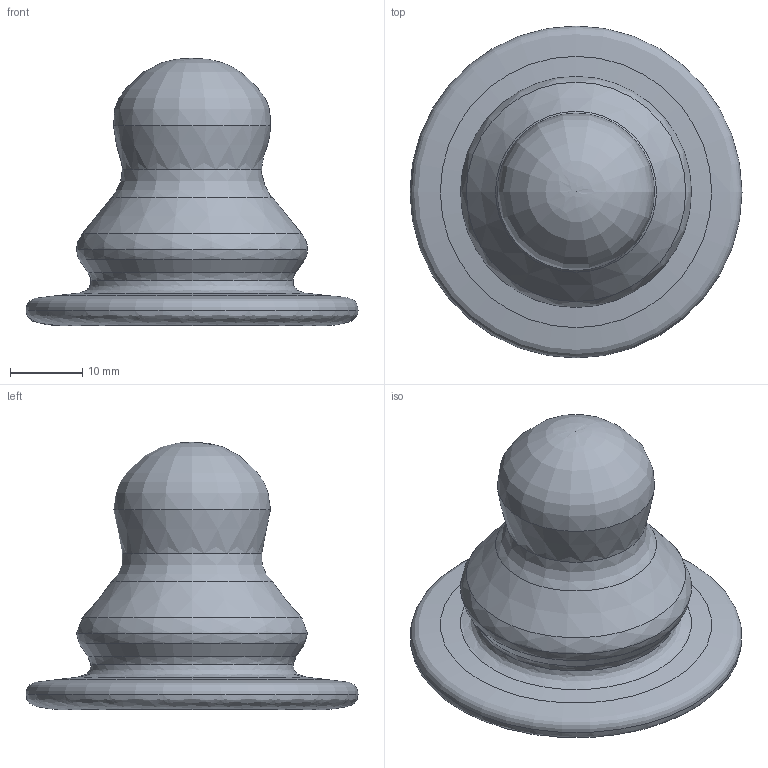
import cadquery as cq

total_height = 37.01

crown_radius, crown_z = 6.55, 35.25
brow_radius, brow_z = 9.4, 32.5
head_radius, head_z = 10.88, 27.7
jaw_radius, jaw_z = 10.3, 24.5

waist_radius, waist_z = 9.65, 21.6

cone_top_radius, cone_top_z = 11.15, 17.75
cone_bottom_radius, cone_bottom_z = 15.2, 12.7

shoulder_radius, shoulder_z = 16.0, 10.5
undercut_top_radius, undercut_top_z = 15.6, 9.1
undercut_bottom_radius, undercut_bottom_z = 14.4, 7.3

neck_radius, neck_z = 14.0, 6.2
neck_foot_radius, neck_foot_z = 16.0, 4.45

flange_diameter = 46.0
flange_radius = flange_diameter / 2
flange_edge_z = 2.1
flange_top_radius, flange_top_z = 18.8, 4.15
rim_under_radius, rim_under_z = 21.2, 0.35
underside_radius = 18.5

DOWN = (0, -1)
OUTWARD = (1, 0)
INWARD = (-1, 0)

FULL_TURN = 360
AXIS_START = (0, 0, 0)
AXIS_END = (0, 1, 0)


def slope(start, end):
    """Direction from one profile point to another."""
    return (end[0] - start[0], end[1] - start[1])


def half_profile():
    """Closed half section in the XZ plane, from the top down to the underside."""
    apex = (0, total_height)
    crown = (crown_radius, crown_z)
    brow = (brow_radius, brow_z)
    head = (head_radius, head_z)
    jaw = (jaw_radius, jaw_z)
    waist = (waist_radius, waist_z)
    cone_top = (cone_top_radius, cone_top_z)
    cone_bottom = (cone_bottom_radius, cone_bottom_z)
    shoulder = (shoulder_radius, shoulder_z)
    undercut_top = (undercut_top_radius, undercut_top_z)
    undercut_bottom = (undercut_bottom_radius, undercut_bottom_z)
    neck = (neck_radius, neck_z)
    neck_foot = (neck_foot_radius, neck_foot_z)
    flange_top = (flange_top_radius, flange_top_z)
    flange_edge = (flange_radius, flange_edge_z)
    rim_under = (rim_under_radius, rim_under_z)
    underside = (underside_radius, 0)

    cone_slope = slope(cone_top, cone_bottom)
    undercut_slope = slope(undercut_top, undercut_bottom)
    flange_slope = slope(neck_foot, flange_top)

    profile = cq.Workplane("XZ").moveTo(*apex)
    profile = profile.spline([crown, brow, head], tangents=[OUTWARD, DOWN], includeCurrent=True)
    profile = profile.spline([jaw, waist], tangents=[DOWN, DOWN], includeCurrent=True)
    profile = profile.spline([cone_top], tangents=[DOWN, cone_slope], includeCurrent=True)
    profile = profile.lineTo(*cone_bottom)
    profile = profile.spline([shoulder], tangents=[cone_slope, DOWN], includeCurrent=True)
    profile = profile.spline([undercut_top], tangents=[DOWN, undercut_slope], includeCurrent=True)
    profile = profile.lineTo(*undercut_bottom)
    profile = profile.spline([neck], tangents=[undercut_slope, DOWN], includeCurrent=True)
    profile = profile.spline([neck_foot], tangents=[DOWN, flange_slope], includeCurrent=True)
    profile = profile.lineTo(*flange_top)
    profile = profile.spline([flange_edge], tangents=[flange_slope, DOWN], includeCurrent=True)
    profile = profile.spline([rim_under, underside], tangents=[DOWN, INWARD], includeCurrent=True)
    return profile.lineTo(0, 0).close()


result = half_profile().revolve(FULL_TURN, AXIS_START, AXIS_END)